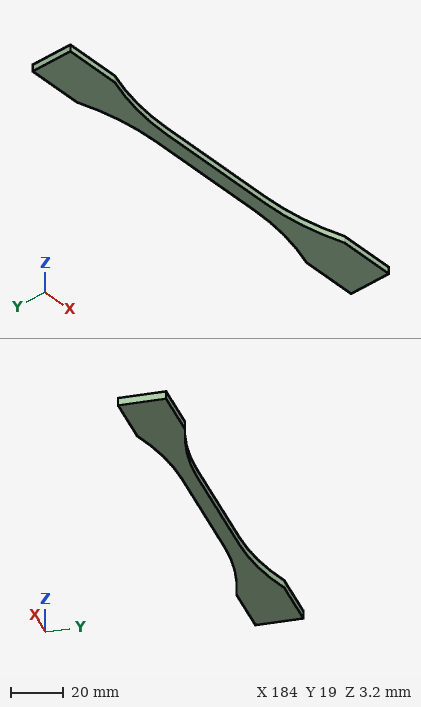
import cadquery as cq
import math

length = 184.0
grip_width = 19.0
thickness = 3.2

neck_width = 6.0
neck_length = 57.0
shoulder_radius = 113.0

half_length = length / 2
half_grip = grip_width / 2
half_neck = neck_width / 2
neck_end = neck_length / 2

shoulder_rise = half_grip - half_neck
shoulder_run = math.sqrt(shoulder_radius**2 - (shoulder_radius - shoulder_rise) ** 2)
grip_start = neck_end + shoulder_run


def make_quarter():
    """Quarter of the specimen in +X, +Y, with its thickness centred on Z = 0."""
    return (
        cq.Workplane("XY")
        .lineTo(half_length, 0)
        .lineTo(half_length, half_grip)
        .lineTo(grip_start, half_grip)
        .radiusArc((neck_end, half_neck), shoulder_radius)
        .lineTo(0, half_neck)
        .close()
        .extrude(thickness / 2, both=True)
    )


def mirror_and_join(body, plane):
    """Complete the body with its mirror image across a plane through the origin."""
    return body.union(body.mirror(plane)).clean()


half = mirror_and_join(make_quarter(), "XZ")
result = mirror_and_join(half, "YZ")